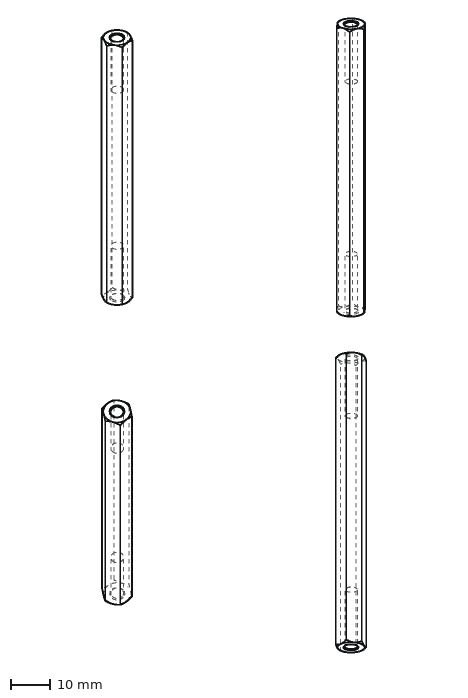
import cadquery as cq
import math

length = 80.0
across_corners = 8.1

end_face_diameter = 7.0
end_chamfer_angle = 45.0
end_chamfer_height = (across_corners - end_face_diameter) / 2 * math.tan(math.radians(end_chamfer_angle))

hole_diameter = 3.3
hole_depth = 16.0
drill_tip_angle = 118.0
countersink_diameter = 3.8


def hexagonal_bar():
    """Hexagonal bar with two flats facing -Y and +Y, and chamfered ends."""
    bar = cq.Workplane("XY").polygon(6, across_corners).extrude(length)
    face_radius = end_face_diameter / 2
    corner_radius = across_corners / 2
    envelope = (
        cq.Workplane("XZ")
        .moveTo(0, 0)
        .lineTo(face_radius, 0)
        .lineTo(corner_radius, end_chamfer_height)
        .lineTo(corner_radius, length - end_chamfer_height)
        .lineTo(face_radius, length)
        .lineTo(0, length)
        .close()
        .revolve(360, (0, 0, 0), (0, 1, 0))
    )
    return bar.intersect(envelope)


def top_hole():
    """Drilled hole at the top end, with a conical tip and a 45 degree countersink."""
    hole_radius = hole_diameter / 2
    countersink_radius = countersink_diameter / 2
    countersink_depth = countersink_radius - hole_radius
    tip_height = hole_radius / math.tan(math.radians(drill_tip_angle / 2))
    floor = length - hole_depth
    return (
        cq.Workplane("XZ")
        .moveTo(0, length)
        .lineTo(countersink_radius, length)
        .lineTo(hole_radius, length - countersink_depth)
        .lineTo(hole_radius, floor)
        .lineTo(0, floor - tip_height)
        .close()
        .revolve(360, (0, 0, 0), (0, 1, 0))
    )


upper_hole = top_hole()
lower_hole = upper_hole.mirror("XY", (0, 0, length / 2))
result = hexagonal_bar().cut(upper_hole).cut(lower_hole)